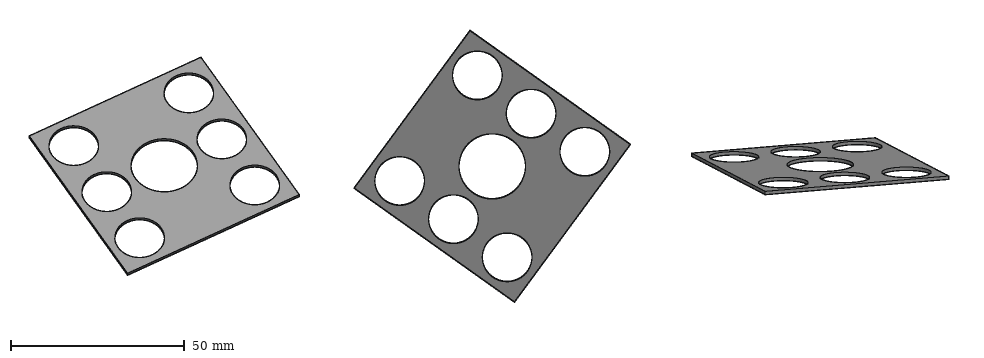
import cadquery as cq

side = 56.9
thickness = 1.0

center_hole_diameter = 19.05
outer_hole_diameter = 14.2
hole_pitch = 19.05

outer_hole_centers = [
    (column * hole_pitch, row * hole_pitch)
    for row in (-1, 1)
    for column in (-1, 0, 1)
]

plate = cq.Workplane("XY").box(side, side, thickness)

result = (
    plate.faces(">Z").workplane()
    .hole(center_hole_diameter)
    .faces(">Z").workplane()
    .pushPoints(outer_hole_centers)
    .hole(outer_hole_diameter)
)